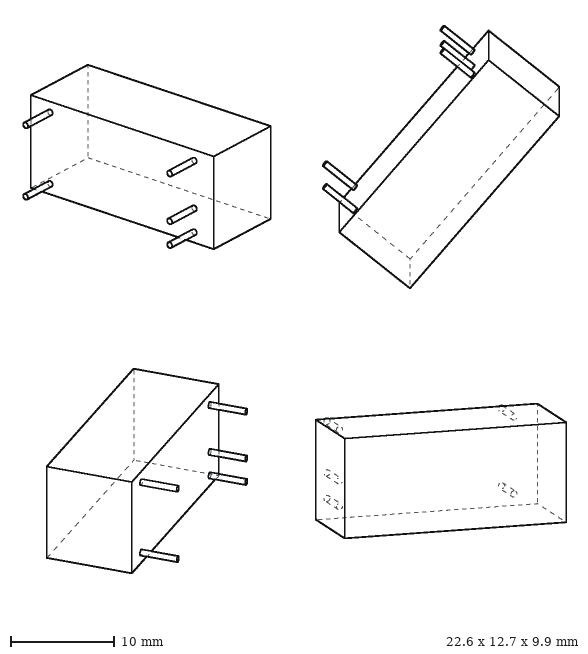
import cadquery as cq

length = 22.6
height = 9.9
overall_depth = 12.7
pin_length = 3.82
body_depth = overall_depth - pin_length

pin_diameter = 0.6
row_spacing = 17.79
pitches_between_rows = 7
pitch = row_spacing / pitches_between_rows
pin_x = row_spacing / 2
outer_pin_z = 3 * pitch / 2
inner_pin_z = pitch / 2
pin_positions = [
    (-pin_x, outer_pin_z),
    (-pin_x, -outer_pin_z),
    (pin_x, outer_pin_z),
    (pin_x, -inner_pin_z),
    (pin_x, -outer_pin_z),
]

body = cq.Workplane("XZ").rect(length, height).extrude(-body_depth)

pins = cq.Workplane("XZ").pushPoints(pin_positions).circle(pin_diameter / 2).extrude(pin_length)

result = body.union(pins)